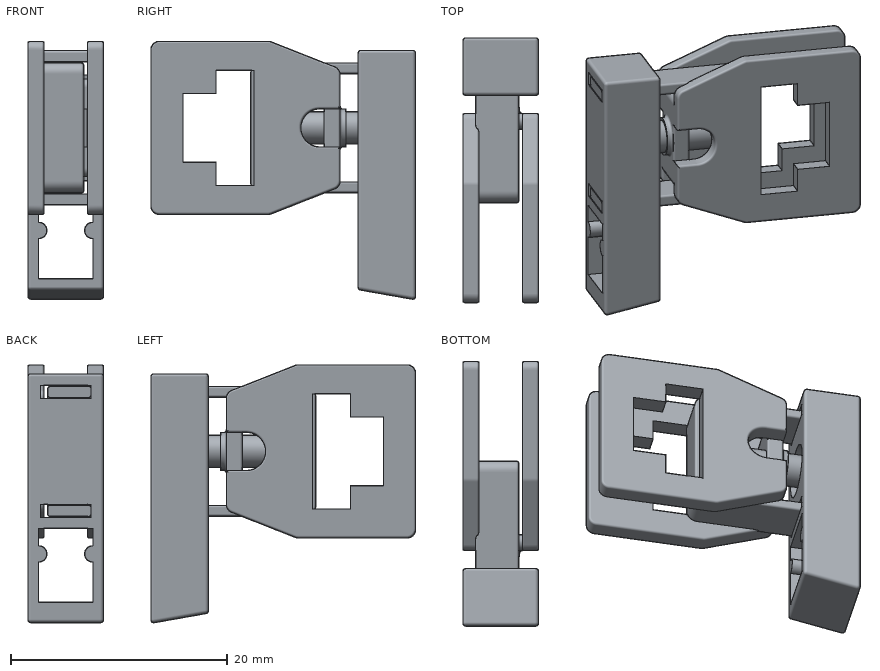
import cadquery as cq
import math


housing_width = 7.0
housing_depth = 5.34
housing_top = 7.17
housing_bottom = -15.89
housing_slant_angle = 10
housing_edge_radius = 0.3

bore_diameter = 5.0
bore_depth = 1.88
leg_clearance = 0.1
window_width = 5.0
window_top = -7.1
window_bottom = -13.93
bump_radius = 0.75
bump_z = -9.47

plate_gap = 4.0
plate_front = -19.15
plate_back = -1.65
plate_half_height = 8.0
plate_back_half_height = 5.43
plate_shoulder_y = -8.15
plate_corner_radius = 0.8
plate_edge_radius = 0.2
web_thickness = 1.5
web_height = 9.0
slot_width = 3.5
slot_center_y = -3.53
opening_back = -9.6
opening_step = -13.1
opening_front = -16.15
opening_wide = 10.62
opening_narrow = 6.32
collar_diameter = 3.5
collar_length = 0.51
collar_root_radius = 0.25

bracket_left = -2.33
bracket_width = 4.0
bracket_height = 12.0
bracket_wall = 1.0
bracket_front = -9.91
bracket_corner_radius = 1.0
bracket_edge_radius = 0.2

pin_diameter = 3.0

plate_thickness = (housing_width - plate_gap) / 2
bracket_inner_height = bracket_height - 2 * bracket_wall
bracket_back = housing_depth
leg_slot_half_width = -bracket_left
web_front = plate_back - web_thickness


def box(x_range, y_range, z_range):
    """Axis-aligned block between the given limits."""
    sizes = [high - low for low, high in (x_range, y_range, z_range)]
    corner = (x_range[0], y_range[0], z_range[0])
    return cq.Workplane("XY").box(*sizes, centered=False).translate(corner)


def cylinder_along_y(diameter, y_start, y_end):
    """Cylinder on the pin axis."""
    return (
        cq.Workplane("XZ", origin=(0, y_start, 0))
        .circle(diameter / 2)
        .extrude(y_start - y_end)
    )


def prism_along_x(points, x_start, x_end):
    """Prism with a closed (Y, Z) outline."""
    return cq.Workplane("YZ", origin=(x_start, 0, 0)).polyline(points).close().extrude(x_end - x_start)


def make_bracket():
    """U-shaped bracket with its closed end toward -Y."""
    right = bracket_left + bracket_width
    half_height = bracket_height / 2
    inner_half = bracket_inner_height / 2
    body = box((bracket_left, right), (bracket_front, bracket_back), (-half_height, half_height))
    body = body.edges("|X and <Y").fillet(bracket_corner_radius)
    body = body.cut(
        box((bracket_left, right), (bracket_front + bracket_wall, bracket_back), (-inner_half, inner_half))
    )
    return body.faces("<X or >X").edges("not >Y").fillet(bracket_edge_radius)


def make_pin():
    """Plain pin from the bore floor to the closed end of the bracket."""
    return cylinder_along_y(pin_diameter, bracket_front + bracket_wall, bore_depth)


def make_housing():
    """Block with a slanted bottom, two leg slots, a blind bore and a lower window."""
    half_width = housing_width / 2
    rise = housing_depth * math.tan(math.radians(housing_slant_angle))
    body = prism_along_x(
        [
            (0, housing_top),
            (housing_depth, housing_top),
            (housing_depth, housing_bottom),
            (0, housing_bottom + rise),
        ],
        -half_width,
        half_width,
    )
    body = body.edges().fillet(housing_edge_radius)

    slot_outer = bracket_height / 2 + leg_clearance
    slot_inner = bracket_inner_height / 2 - leg_clearance
    for low, high in ((slot_inner, slot_outer), (-slot_outer, -slot_inner)):
        body = body.cut(
            box((-leg_slot_half_width, leg_slot_half_width), (0, housing_depth), (low, high))
        )

    body = body.cut(cylinder_along_y(bore_diameter, 0, bore_depth))

    window_edge = window_width / 2
    window = box((-window_edge, window_edge), (0, housing_depth), (window_bottom, window_top))
    for x in (-window_edge, window_edge):
        bump = (
            cq.Workplane("XZ", origin=(x, 0, bump_z)).circle(bump_radius).extrude(-housing_depth)
        )
        window = window.cut(bump)
    return body.cut(window)


def make_plate(side):
    """One rounded plate with an open pin slot; side is -1 for the -X plate and 1 for the +X plate."""
    inner_x = plate_gap / 2
    outer_x = housing_width / 2
    plate = prism_along_x(
        [
            (plate_back, -plate_back_half_height),
            (plate_back, plate_back_half_height),
            (plate_shoulder_y, plate_half_height),
            (plate_front, plate_half_height),
            (plate_front, -plate_half_height),
            (plate_shoulder_y, -plate_half_height),
        ],
        inner_x,
        outer_x,
    )
    plate = plate.edges("|X").fillet(plate_corner_radius)
    plate = plate.faces("<X").edges().fillet(plate_edge_radius)

    slot_half = slot_width / 2
    slot = box((inner_x, outer_x), (slot_center_y, 0), (-slot_half, slot_half))
    slot = slot.union(
        cq.Workplane("YZ", origin=(inner_x, slot_center_y, 0)).circle(slot_half).extrude(plate_thickness)
    )
    plate = plate.cut(slot)
    plate = plate.faces(">X").edges().fillet(plate_edge_radius)
    return plate if side > 0 else plate.mirror("YZ")


def make_opening():
    """Stepped opening that passes through both plates, widest toward the housing."""
    x_range = (-housing_width / 2, housing_width / 2)
    wide = box(x_range, (opening_step, opening_back), (-opening_wide / 2, opening_wide / 2))
    narrow = box(x_range, (opening_front, opening_step), (-opening_narrow / 2, opening_narrow / 2))
    return wide.union(narrow)


def make_web():
    """Cross web with fully round top and bottom, shortened and edge-rounded where the pin slots expose it."""
    half_gap = plate_gap / 2
    slot_half = slot_width / 2
    half_length = half_gap + plate_edge_radius
    outline = cq.Workplane("YZ", origin=(-half_length, (web_front + plate_back) / 2, 0))
    web = outline.slot2D(web_height, web_thickness, 90).extrude(2 * half_length)

    y_range = (web_front, plate_back)
    z_range = (-slot_half, slot_half)
    exposed_part = box((-half_gap, half_gap), y_range, z_range).edges("|Z").fillet(plate_edge_radius)
    return web.cut(box((-half_length, half_length), y_range, z_range)).union(exposed_part)


def make_collar():
    """Ring around the pin on the +Y side of the web, flaring into the web at its root."""
    tip_y = plate_back + collar_length
    radius = collar_diameter / 2
    root = collar_root_radius
    profile = (
        cq.Workplane("XY")
        .moveTo(0, plate_back)
        .lineTo(0, tip_y)
        .lineTo(radius, tip_y)
        .lineTo(radius, plate_back + root)
        .radiusArc((radius + root, plate_back), -root)
        .close()
    )
    return profile.revolve(360, (0, 0, 0), (0, 1, 0))


def make_yoke(bracket, pin):
    """Both plates, web and collar as one body, recessed for the bracket and bored for the pin."""
    yoke = make_web()
    for side in (-1, 1):
        yoke = yoke.union(make_plate(side))
    yoke = yoke.union(make_collar())
    return yoke.cut(make_opening()).cut(bracket).cut(pin)


bracket = make_bracket()
pin = make_pin()
housing = make_housing()
yoke = make_yoke(bracket, pin)

result = cq.Compound.makeCompound([bracket.val(), pin.val(), housing.val(), yoke.val()])